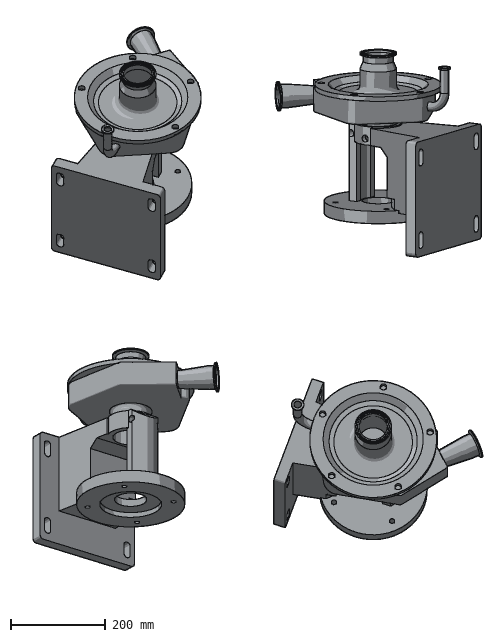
import cadquery as cq
import math

OVERALL_LENGTH = 411.0

COS_45 = math.sqrt(0.5)

PLATE_SIZE = 250.0
DISC_BOTTOM, DISC_TOP = 56.0, 83.0
COLLAR_BOTTOM, COLLAR_TOP = 212.5, 252.5
NECK_FLARE_Z = 262.5
CASING_BOTTOM = 272.5
FLANGE_BOTTOM, FLANGE_TOP = 325.5, 335.5
INLET_TOP = 403.5

PLATE_BACK, PLATE_FRONT = -155.0, -180.5
PLATE_CORNER = 8.5
SLOT_SPACING_X, SLOT_SPACING_Z = 210.5, 179.0
SLOT_LENGTH, SLOT_WIDTH = 36.0, 16.5

DISC_RADIUS = 115.0
DISC_BORE = 34.0
SPIGOT_RADIUS, SPIGOT_DEPTH = 65.8, 11.0
DISC_HOLE_PITCH_RADIUS = 92.5
DISC_HOLE_RADIUS = 5.5
DISC_HOLE_COUNT, DISC_HOLE_START_ANGLE = 4, 45

BRACKET_TOP = PLATE_SIZE
BRACKET_BOTTOM = 77.3
BRACKET_END = -15.0
BRACKET_ROOT_HALF, BRACKET_END_HALF = 75.0, 51.8
WINDOW_SIDE = -63.3
WINDOW_CHAMFER = 19.0
STEP_Y = -95.8
RELIEF_DEPTH, RELIEF_HEIGHT = 20.5, 22.5

COLLAR_RADIUS = 50.5
CLEARANCE_RADIUS = 38.0
CAP_THICKNESS = 2.5
CLEARANCE_TOP = COLLAR_TOP - CAP_THICKNESS
ARM_HALF_WIDTH = 34.0
ARM_FRONT, ARM_SIDE_END, ARM_BACK = 32.5, 51.0, 65.0
ARM_CHAMFER_Y, ARM_CHAMFER_Z = 18.5, 15.0
CROSS_HOLE_RADIUS = 7.5
ARM_HOLE_Y, ARM_HOLE_Z = 47.3, 229.7
COLLAR_HOLE_Z = 226.0

SIDES = 5
SECTOR = 360 / SIDES
APOTHEM = 114.5
FIRST_CORNER_ANGLE = -99
WIDE_CORNER, TIGHT_CORNER, OUTLET_CORNER = 33.5, 15.2, 10.0
CASING_EDGE = 3.5
NECK_RADIUS, FLARE = 42.0, 3.5

FLANGE_RADIUS = 135.0
BOLT_PITCH_RADIUS = 122.0
BOLT_HOLE_RADIUS = 7.0
DISH_RIM, DISH_EDGE, DISH_WALL, DISH_FLOOR = 106.5, 104.5, 93.7, 83.5
DISH_RIM_DROP, DISH_WALL_DEPTH, DISH_DEPTH = 1.5, 12.5, 16.5
INLET_ROOT_FILLET = 15.2

INLET_RADIUS, INLET_NECK_RADIUS, INLET_BORE = 39.0, 32.0, 30.0
INLET_CONE_START, INLET_CONE_END = 369.5, 385.5
INLET_FERRULE_RADIUS = 39.0

OUTLET_ANGLE = 135
OUTLET_FACE, OUTLET_CONE_END, OUTLET_TIP = 116.5, 179.5, 199.7
OUTLET_OFFSET = 91.0
OUTLET_SHOULDER = 123.7
OUTLET_Z = (CASING_BOTTOM + FLANGE_BOTTOM) / 2
OUTLET_ROOT_RADIUS, OUTLET_RADIUS, OUTLET_FERRULE_RADIUS = 19.5, 25.5, 31.5
OUTLET_WALL = 1.5

PIPE_RADIUS, PIPE_BORE = 9.5, 8.0
PIPE_FERRULE_RADIUS = 13.0
OUTLET_REACH = (OUTLET_TIP + OUTLET_OFFSET + OUTLET_FERRULE_RADIUS) * COS_45
PIPE_Y = OUTLET_REACH + PIPE_FERRULE_RADIUS - OVERALL_LENGTH
PIPE_Z = 302.0
PIPE_BEND = 33.5
PIPE_TOP = 391.3

FERRULE_RIM, FERRULE_TAPER = 3.0, 2.5
GROOVE_EDGE, GROOVE_WIDTH, GROOVE_DEPTH = 3.0, 3.0, 1.2


def polar(radius, angle):
    return (radius * math.cos(math.radians(angle)), radius * math.sin(math.radians(angle)))


def shifted(point, radius, angle):
    """Point at a given radius and direction from another point."""
    step = polar(radius, angle)
    return (point[0] + step[0], point[1] + step[1])


def cylinder(radius, bottom, top):
    return cq.Workplane("XY").workplane(offset=bottom).circle(radius).extrude(top - bottom)


def x_hole(y, z, start, length):
    return cq.Workplane("YZ", origin=(start, y, z)).circle(CROSS_HOLE_RADIUS).extrude(length)


def gasket_groove(rim_radius, tip):
    """Ring cut into the end face of a ferrule."""
    outer = rim_radius - GROOVE_EDGE
    bottom = tip - GROOVE_DEPTH
    return cylinder(outer, bottom, tip).cut(cylinder(outer - GROOVE_WIDTH, bottom, tip))


def ferrule_profile(tube_radius, rim_radius, tip):
    """Radius-height points from the tube up to the edge of the ferrule's end face."""
    return [
        (tube_radius, tip - FERRULE_RIM - FERRULE_TAPER),
        (rim_radius, tip - FERRULE_RIM),
        (rim_radius, tip),
    ]


def revolve_profile(points):
    return cq.Workplane("XZ").polyline(points).close().revolve(360, (0, 0, 0), (0, 1, 0))


def mounting_plate():
    middle = PLATE_SIZE / 2
    plate = (
        cq.Workplane("XZ", origin=(0, PLATE_BACK, middle))
        .rect(PLATE_SIZE, PLATE_SIZE)
        .extrude(PLATE_BACK - PLATE_FRONT)
        .edges("|Y")
        .fillet(PLATE_CORNER)
    )
    slots = (
        cq.Workplane("XZ", origin=(0, PLATE_BACK, middle))
        .rect(SLOT_SPACING_X, SLOT_SPACING_Z, forConstruction=True)
        .vertices()
        .slot2D(SLOT_LENGTH, SLOT_WIDTH, 90)
        .extrude(PLATE_BACK - PLATE_FRONT)
    )
    return plate.cut(slots)


def motor_disc():
    holes = (
        cq.Workplane("XY")
        .workplane(offset=DISC_BOTTOM)
        .polarArray(DISC_HOLE_PITCH_RADIUS, DISC_HOLE_START_ANGLE, 360, DISC_HOLE_COUNT)
        .circle(DISC_HOLE_RADIUS)
        .extrude(DISC_TOP - DISC_BOTTOM)
    )
    bore = cylinder(DISC_BORE, DISC_BOTTOM, DISC_TOP)
    spigot = cylinder(SPIGOT_RADIUS, DISC_BOTTOM, DISC_BOTTOM + SPIGOT_DEPTH)
    return cylinder(DISC_RADIUS, DISC_BOTTOM, DISC_TOP).cut(bore).cut(spigot).cut(holes)


def bracket_half_width(y):
    slope = (BRACKET_END_HALF - BRACKET_ROOT_HALF) / (BRACKET_END - PLATE_BACK)
    return BRACKET_ROOT_HALF + slope * (y - PLATE_BACK)


def bracket():
    plan = (
        cq.Workplane("XY")
        .polyline([
            (-BRACKET_ROOT_HALF, PLATE_BACK),
            (BRACKET_ROOT_HALF, PLATE_BACK),
            (BRACKET_END_HALF, BRACKET_END),
            (-BRACKET_END_HALF, BRACKET_END),
        ])
        .close()
        .extrude(BRACKET_TOP)
    )
    side = (
        cq.Workplane("YZ")
        .polyline([
            (PLATE_BACK, BRACKET_TOP),
            (BRACKET_END, BRACKET_TOP),
            (BRACKET_END, COLLAR_BOTTOM),
            (WINDOW_SIDE + WINDOW_CHAMFER, COLLAR_BOTTOM),
            (WINDOW_SIDE, COLLAR_BOTTOM - WINDOW_CHAMFER),
            (WINDOW_SIDE, DISC_TOP),
            (STEP_Y, DISC_TOP),
            (STEP_Y, BRACKET_BOTTOM),
            (PLATE_BACK, BRACKET_BOTTOM),
        ])
        .close()
        .extrude(BRACKET_ROOT_HALF, both=True)
    )
    outer = bracket_half_width(WINDOW_SIDE - RELIEF_DEPTH)
    relief = (
        cq.Workplane("XY")
        .workplane(offset=DISC_TOP)
        .polyline([
            (-outer, WINDOW_SIDE - RELIEF_DEPTH),
            (-outer + RELIEF_DEPTH, WINDOW_SIDE),
            (-outer, WINDOW_SIDE),
        ])
        .close()
        .extrude(RELIEF_HEIGHT)
    )
    return plan.intersect(side).cut(relief).cut(relief.mirror("YZ"))


def rear_arm():
    arm = (
        cq.Workplane("XY")
        .workplane(offset=DISC_TOP)
        .moveTo(-ARM_HALF_WIDTH, ARM_FRONT)
        .lineTo(ARM_HALF_WIDTH, ARM_FRONT)
        .lineTo(ARM_HALF_WIDTH, ARM_SIDE_END)
        .threePointArc((0, ARM_BACK), (-ARM_HALF_WIDTH, ARM_SIDE_END))
        .close()
        .extrude(COLLAR_TOP - DISC_TOP)
    )
    top_chamfer = (
        cq.Workplane("YZ")
        .polyline([
            (ARM_BACK, COLLAR_TOP - ARM_CHAMFER_Z),
            (ARM_BACK, COLLAR_TOP),
            (ARM_BACK - ARM_CHAMFER_Y, COLLAR_TOP),
        ])
        .close()
        .extrude(ARM_HALF_WIDTH, both=True)
    )
    return arm.cut(top_chamfer)


def stand():
    frame = bracket().union(rear_arm()).union(cylinder(COLLAR_RADIUS, COLLAR_BOTTOM, COLLAR_TOP))
    frame = frame.cut(cylinder(CLEARANCE_RADIUS, DISC_TOP, CLEARANCE_TOP))
    frame = frame.cut(x_hole(ARM_HOLE_Y, ARM_HOLE_Z, -COLLAR_RADIUS, 2 * COLLAR_RADIUS))
    frame = frame.cut(x_hole(0, COLLAR_HOLE_Z, -COLLAR_RADIUS, COLLAR_RADIUS))
    return frame.union(motor_disc()).union(mounting_plate())


def corner_centre(angle, radius):
    return polar((APOTHEM - radius) / math.cos(math.radians(SECTOR / 2)), angle)


def add_corner(outline, angle, radius, end_angle=None):
    """Line to a rounded corner, then its arc from one side's normal to the next."""
    start_angle = angle - SECTOR / 2
    end_angle = angle + SECTOR / 2 if end_angle is None else end_angle
    centre = corner_centre(angle, radius)
    start = shifted(centre, radius, start_angle)
    middle = shifted(centre, radius, (start_angle + end_angle) / 2)
    end = shifted(centre, radius, end_angle)
    return outline.lineTo(*start).threePointArc(middle, end)


def casing():
    corners = [FIRST_CORNER_ANGLE + SECTOR * i for i in range(SIDES)]
    first_corner, second_corner, outlet_corner, next_corner, last_corner = corners

    across = OUTLET_ANGLE - 90
    shoulder = shifted(polar(OUTLET_FACE, OUTLET_ANGLE), OUTLET_SHOULDER, across)
    centre = corner_centre(outlet_corner, OUTLET_CORNER)
    gap_x, gap_y = shoulder[0] - centre[0], shoulder[1] - centre[1]
    gap = math.hypot(gap_x, gap_y)
    tangent_angle = math.degrees(math.atan2(gap_y, gap_x) - math.acos(OUTLET_CORNER / gap))

    side_angle = math.radians(outlet_corner + SECTOR / 2)
    height = shoulder[0] * math.cos(side_angle) + shoulder[1] * math.sin(side_angle)
    run = (height - APOTHEM) / math.cos(side_angle - math.radians(across))
    face_foot = shifted(shoulder, -run, across)

    start_centre = corner_centre(last_corner, WIDE_CORNER)
    start = shifted(start_centre, WIDE_CORNER, last_corner + SECTOR / 2)
    outline = cq.Workplane("XY").workplane(offset=CASING_BOTTOM).moveTo(*start)
    for angle in (first_corner, second_corner):
        outline = add_corner(outline, angle, WIDE_CORNER)
    outline = add_corner(outline, outlet_corner, OUTLET_CORNER, tangent_angle)
    outline = outline.lineTo(*shoulder).lineTo(*face_foot)
    outline = add_corner(outline, next_corner, TIGHT_CORNER)
    outline = add_corner(outline, last_corner, WIDE_CORNER)
    body = outline.close().extrude(FLANGE_BOTTOM - CASING_BOTTOM)

    face_middle = ((shoulder[0] + face_foot[0]) / 2, (shoulder[1] + face_foot[1]) / 2, CASING_BOTTOM)
    face_edge = cq.selectors.NearestToPointSelector(face_middle)
    rim = body.faces("<Z").edges(cq.selectors.InverseSelector(face_edge))
    return rim.fillet(CASING_EDGE)


def casing_neck():
    sag = FLARE * (1 - COS_45)
    flare_height = CASING_BOTTOM - NECK_FLARE_Z
    return (
        cq.Workplane("XZ")
        .moveTo(0, COLLAR_TOP)
        .lineTo(NECK_RADIUS, COLLAR_TOP)
        .lineTo(NECK_RADIUS, NECK_FLARE_Z)
        .threePointArc(
            (NECK_RADIUS + sag, NECK_FLARE_Z + flare_height * COS_45),
            (NECK_RADIUS + FLARE, CASING_BOTTOM),
        )
        .lineTo(0, CASING_BOTTOM)
        .close()
        .revolve(360, (0, 0, 0), (0, 1, 0))
    )


def dish():
    """Ring-shaped hollow between the flange and the foot of the inlet."""
    floor = FLANGE_TOP - DISH_DEPTH
    sag = INLET_ROOT_FILLET * (1 - COS_45)
    return (
        cq.Workplane("XZ")
        .moveTo(INLET_RADIUS, FLANGE_TOP)
        .lineTo(INLET_RADIUS, floor + INLET_ROOT_FILLET)
        .threePointArc(
            (INLET_RADIUS + sag, floor + sag),
            (INLET_RADIUS + INLET_ROOT_FILLET, floor),
        )
        .lineTo(DISH_FLOOR, floor)
        .lineTo(DISH_WALL, FLANGE_TOP - DISH_WALL_DEPTH)
        .lineTo(DISH_EDGE, FLANGE_TOP - DISH_RIM_DROP)
        .lineTo(DISH_RIM, FLANGE_TOP)
        .close()
        .revolve(360, (0, 0, 0), (0, 1, 0))
    )


def bolt_holes():
    return (
        cq.Workplane("XY")
        .workplane(offset=FLANGE_BOTTOM)
        .polarArray(BOLT_PITCH_RADIUS, FIRST_CORNER_ANGLE, 360, SIDES)
        .circle(BOLT_HOLE_RADIUS)
        .extrude(FLANGE_TOP - FLANGE_BOTTOM)
    )


def inlet():
    turned = revolve_profile([
        (0, FLANGE_BOTTOM),
        (INLET_RADIUS, FLANGE_BOTTOM),
        (INLET_RADIUS, INLET_CONE_START),
        (INLET_NECK_RADIUS, INLET_CONE_END),
        *ferrule_profile(INLET_NECK_RADIUS, INLET_FERRULE_RADIUS, INLET_TOP),
        (0, INLET_TOP),
    ])
    return turned.cut(gasket_groove(INLET_FERRULE_RADIUS, INLET_TOP))


def place_outlet(turned):
    """Lay a part turned about Z along the outlet axis."""
    x, y = polar(OUTLET_OFFSET, OUTLET_ANGLE - 90)
    return (
        turned.rotate((0, 0, 0), (0, 1, 0), 90)
        .rotate((0, 0, 0), (0, 0, 1), OUTLET_ANGLE)
        .translate((x, y, OUTLET_Z))
    )


def outlet():
    turned = revolve_profile([
        (0, OUTLET_FACE),
        (OUTLET_ROOT_RADIUS, OUTLET_FACE),
        (OUTLET_RADIUS, OUTLET_CONE_END),
        *ferrule_profile(OUTLET_RADIUS, OUTLET_FERRULE_RADIUS, OUTLET_TIP),
        (0, OUTLET_TIP),
    ])
    return place_outlet(turned.cut(gasket_groove(OUTLET_FERRULE_RADIUS, OUTLET_TIP)))


def outlet_bore():
    return place_outlet(revolve_profile([
        (0, OUTLET_FACE),
        (OUTLET_ROOT_RADIUS - OUTLET_WALL, OUTLET_FACE),
        (OUTLET_RADIUS - OUTLET_WALL, OUTLET_CONE_END),
        (OUTLET_RADIUS - OUTLET_WALL, OUTLET_TIP),
        (0, OUTLET_TIP),
    ]))


def flush_pipe():
    bend_start = PIPE_Y + PIPE_BEND
    bend_end = PIPE_Z + PIPE_BEND
    sag = PIPE_BEND * (1 - COS_45)
    casing_side = -APOTHEM
    path = (
        cq.Workplane("YZ")
        .moveTo(casing_side, PIPE_Z)
        .lineTo(bend_start, PIPE_Z)
        .threePointArc((PIPE_Y + sag, PIPE_Z + sag), (PIPE_Y, bend_end))
        .lineTo(PIPE_Y, PIPE_TOP)
    )
    pipe = cq.Workplane("XZ", origin=(0, casing_side, PIPE_Z)).circle(PIPE_RADIUS).sweep(path)
    ferrule = revolve_profile([
        (0, bend_end),
        (PIPE_RADIUS, bend_end),
        *ferrule_profile(PIPE_RADIUS, PIPE_FERRULE_RADIUS, PIPE_TOP),
        (0, PIPE_TOP),
    ])
    bore = cylinder(PIPE_BORE, bend_end, PIPE_TOP)
    offset = (0, PIPE_Y, 0)
    return pipe.union(ferrule.translate(offset)).cut(bore.translate(offset))


flange = cylinder(FLANGE_RADIUS, FLANGE_BOTTOM, FLANGE_TOP)
pump = casing().union(flange).union(casing_neck())
pump = pump.cut(dish()).cut(bolt_holes())
pump = pump.union(inlet()).cut(cylinder(INLET_BORE, FLANGE_BOTTOM, INLET_TOP))
pump = pump.union(outlet()).cut(outlet_bore())
pump = pump.union(flush_pipe())
result = pump.union(stand())